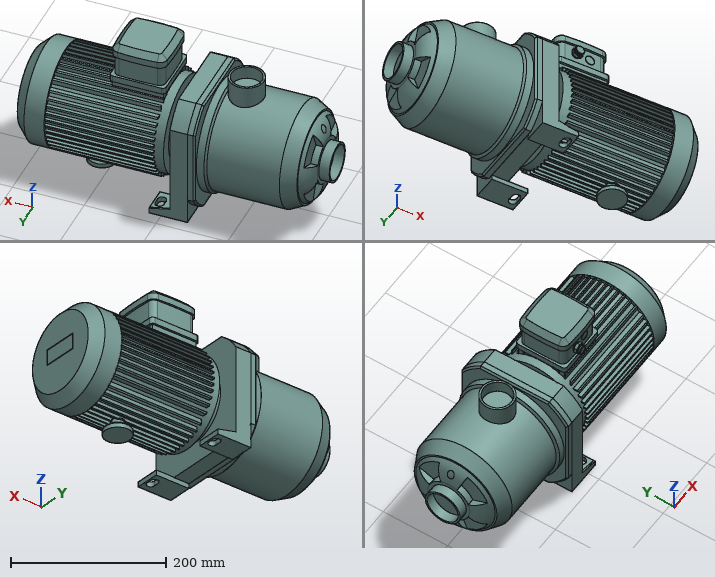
import cadquery as cq
import math


INLET_LENGTH = 14.5
POCKET_FLOOR_X = 24.5
DOME_END_X = 29.5
BARREL_START_X = 50.0
BARREL_END_X = 151.0
BEAD_START_X = 153.5
FLANGE_START_X = 164.0
BRACKET_START_X = 174.5
BRACKET_END_X = 199.2
COLLAR_START_X = 214.0
FINS_START_X = 226.7
COVER_START_X = 378.5
COVER_TAPER_X = 406.5
COVER_END_X = 422.0
OVERALL_LENGTH = 423

INLET_DIAMETER = 54.0
INLET_BORE = 48.2
INLET_BORE_DEPTH = 14.5
HUB_RADIUS = 32.5
DOME_RADIUS = 61.8
SHOULDER_RADIUS = 64.5
BARREL_DIAMETER = 149.0
BEAD_DIAMETER = 156.5
POCKET_COUNT = 4
POCKET_ANGLE = 45
OUTLET_X = 126.0
OUTLET_TOP_Z = 102.5
OUTLET_DIAMETER = 48.2
OUTLET_BORE = 42.5
OUTLET_BORE_DEPTH = 18.5

PLUG_DIAMETER = 10.0
PLUG_Z = 49.0

PLATE_WIDTH = 166.0
PLATE_CORNER_DIAMETER = 197.0
FLANGE_CHAMFER = 2.5
FLOOR_Z = -90.0
FOOT_WIDTH = 37.5
FOOT_END_X = 228.5
FOOT_ROOT_Z = -75.7
FOOT_TIP_Z = -82.5
FOOT_RIM = 2.5
SLOT_WIDTH = 12.0
SLOT_X = 219.5
SLOT_MARGIN = 9.0

NECK_DIAMETER = 102.5
CORE_DIAMETER = 136.0
FIN_DIAMETER = 146.0
FIN_THICKNESS = 2.0
FIN_SPAN = 91.0
FINS_EACH_SIDE = 5
FIN_PITCH = FIN_SPAN / (2 * FINS_EACH_SIDE)
COVER_END_RADIUS = 58.0
NAMEPLATE_WIDTH = 52.5
NAMEPLATE_HEIGHT = 23.0
NAMEPLATE_Z = 4.0

BOX_X = 263.0
PAD_TOP_Z = 72
BASE_TOP_Z = 81.2
BOX_TOP_Z = 111.2
LID_TOP_Z = 128.5
LID_CHAMFER = 8.0
LID_HALF_WIDTH = 39.0
BOX_HALF_WIDTH = 36.0
BASE_CORNER_RADIUS = 5.0
LID_BULGE = 2.0
BOX_BULGE = 1.3
STRAIGHT_HALF = 26.0

ENTRY_Z = 97.5
ENTRY_OFFSET = 10.5
ENTRY_DIAMETER = 13.5
KNOCKOUT_DEPTH = 1.0
GLAND_STEM_DIAMETER = 12.0
GLAND_SOCKET_DEPTH = 2.0
NUT_GAP = 1.3
NUT_FLATS = 13.5
NUT_LENGTH = 5.0
CAP_GAP = 1.5
CAP_LENGTH = 3.5
CAP_CHAMFER = 1.0

STAND_X = 328.0
STAND_DIAMETER = 40.0
STAND_STEM_DIAMETER = 20.0
STAND_PAD_HEIGHT = 6.5
STAND_CONE_HEIGHT = 5.5
STAND_CONE_TOP_DIAMETER = 27.0
STAND_TOP_Z = -70.0


def x_cylinder(diameter, start, end, y=0, z=0):
    """Cylinder along X between two stations."""
    return cq.Workplane("YZ", origin=(start, y, z)).circle(diameter / 2).extrude(end - start)


def x_box(start, end, width_y, bottom, top, y=0):
    """Block between two X stations, centred on y."""
    return cq.Workplane("XY").box(
        end - start, width_y, top - bottom, centered=(False, True, False)
    ).translate((start, y, bottom))


def revolve_about_x(profile):
    """Turn a closed (x, radius) profile about the shaft axis."""
    return profile.close().revolve(360, (0, 0, 0), (1, 0, 0))



def make_pockets():
    """Radial windows cut into the dome between its four ribs."""
    half_angle = math.radians(POCKET_ANGLE / 2)
    reach = SHOULDER_RADIUS
    sector = (
        cq.Workplane("YZ", origin=(INLET_LENGTH, 0, 0))
        .moveTo(0, 0)
        .lineTo(reach * math.cos(half_angle), -reach * math.sin(half_angle))
        .threePointArc(
            (reach, 0), (reach * math.cos(half_angle), reach * math.sin(half_angle))
        )
        .close()
        .extrude(POCKET_FLOOR_X - INLET_LENGTH)
        .cut(x_cylinder(2 * HUB_RADIUS, 0, POCKET_FLOOR_X))
    )
    pockets = cq.Workplane("YZ")
    for index in range(POCKET_COUNT):
        angle = (index + 0.5) * 360 / POCKET_COUNT
        pockets = pockets.add(sector.rotate((0, 0, 0), (1, 0, 0), angle))
    return pockets


def make_vent_bore():
    return x_cylinder(PLUG_DIAMETER, 0, DOME_END_X, z=PLUG_Z)


def make_casing_blank():
    """Casing with its nozzles and pockets, before the vent hole."""
    dome_depth = DOME_END_X - INLET_LENGTH
    dome_rise = DOME_RADIUS - HUB_RADIUS
    arc_radius = (dome_depth**2 + dome_rise**2) / (2 * dome_depth)
    half_sweep = math.asin(dome_rise / arc_radius) / 2
    arc_middle = (
        INLET_LENGTH + arc_radius * (1 - math.cos(half_sweep)),
        HUB_RADIUS + arc_radius * math.sin(half_sweep),
    )
    body = revolve_about_x(
        cq.Workplane("XY")
        .moveTo(0, 0)
        .lineTo(0, INLET_DIAMETER / 2)
        .lineTo(INLET_LENGTH, INLET_DIAMETER / 2)
        .lineTo(INLET_LENGTH, HUB_RADIUS)
        .threePointArc(arc_middle, (DOME_END_X, DOME_RADIUS))
        .lineTo(DOME_END_X, SHOULDER_RADIUS)
        .lineTo(BARREL_START_X, BARREL_DIAMETER / 2)
        .lineTo(BARREL_END_X, BARREL_DIAMETER / 2)
        .lineTo(BEAD_START_X, BEAD_DIAMETER / 2)
        .lineTo(FLANGE_START_X, BEAD_DIAMETER / 2)
        .lineTo(FLANGE_START_X, 0)
    )
    outlet = (
        cq.Workplane("XY", origin=(OUTLET_X, 0, 0))
        .circle(OUTLET_DIAMETER / 2)
        .extrude(OUTLET_TOP_Z)
    )
    outlet_bore = (
        cq.Workplane("XY", origin=(OUTLET_X, 0, OUTLET_TOP_Z))
        .circle(OUTLET_BORE / 2)
        .extrude(-OUTLET_BORE_DEPTH)
    )
    body = body.union(outlet).cut(outlet_bore)
    body = body.cut(x_cylinder(INLET_BORE, 0, INLET_BORE_DEPTH))
    for pocket in make_pockets().vals():
        body = body.cut(cq.Workplane(pocket))
    return body


def make_casing(blank):
    return blank.cut(make_vent_bore())


def make_vent_plug(blank):
    """Plug that fills the vent hole flush with the dome."""
    return blank.intersect(make_vent_bore())



def make_plate(start, end):
    """Square plate with its four corners rounded off by one large circle about the axis."""
    return (
        cq.Workplane("YZ", origin=(start, 0, 0))
        .rect(PLATE_WIDTH, PLATE_WIDTH)
        .extrude(end - start)
        .intersect(x_cylinder(PLATE_CORNER_DIAMETER, start, end))
    )


def make_flange():
    return make_plate(FLANGE_START_X, BRACKET_START_X).faces("<X").chamfer(FLANGE_CHAMFER)


def make_foot(side):
    """Slotted foot with a sloping outer rim; side is +1 or -1 along Y."""
    outer_y = side * PLATE_WIDTH / 2
    corner_z = math.sqrt(PLATE_CORNER_DIAMETER**2 - PLATE_WIDTH**2) / 2
    foot = (
        cq.Workplane("XZ", origin=(0, outer_y, 0))
        .moveTo(BRACKET_START_X, FLOOR_Z)
        .lineTo(FOOT_END_X, FLOOR_Z)
        .lineTo(FOOT_END_X, FOOT_TIP_Z)
        .lineTo(BRACKET_END_X, FOOT_ROOT_Z)
        .lineTo(BRACKET_END_X, -corner_z)
        .lineTo(BRACKET_START_X, -corner_z)
        .close()
        .extrude(side * FOOT_WIDTH)
    )
    foot_middle_y = outer_y - side * FOOT_WIDTH / 2
    recess = x_box(
        BRACKET_END_X, FOOT_END_X, FOOT_WIDTH, FOOT_TIP_Z, FOOT_ROOT_Z,
        y=foot_middle_y - side * FOOT_RIM,
    )
    slot = (
        cq.Workplane("XY", origin=(SLOT_X, foot_middle_y, FLOOR_Z))
        .slot2D(FOOT_WIDTH - 2 * SLOT_MARGIN, SLOT_WIDTH, 90)
        .extrude(FOOT_TIP_Z - FLOOR_Z)
    )
    return foot.cut(recess).cut(slot)


def make_bracket():
    bracket = make_plate(BRACKET_START_X, BRACKET_END_X)
    for side in (-1, 1):
        bracket = bracket.union(make_foot(side))
    return bracket



def make_fins():
    """Parallel fins, level on both flanks and upright above and below, trimmed to a cylinder."""
    length = COVER_START_X - FINS_START_X
    fins = cq.Workplane("XY")
    for index in range(-FINS_EACH_SIDE, FINS_EACH_SIDE + 1):
        offset = index * FIN_PITCH
        level = cq.Workplane("XY").box(
            length, FIN_DIAMETER, FIN_THICKNESS, centered=(False, True, True)
        ).translate((FINS_START_X, 0, offset))
        upright = level.rotate((0, 0, 0), (1, 0, 0), 90)
        fins = fins.union(level).union(upright)
    return fins.intersect(x_cylinder(FIN_DIAMETER, FINS_START_X, COVER_START_X))


def make_stand():
    """Round support foot under the motor."""
    pad_top = FLOOR_Z + STAND_PAD_HEIGHT
    cone_top = pad_top + STAND_CONE_HEIGHT
    return (
        cq.Workplane("XZ")
        .moveTo(0, FLOOR_Z)
        .lineTo(STAND_DIAMETER / 2, FLOOR_Z)
        .lineTo(STAND_DIAMETER / 2, pad_top)
        .lineTo(STAND_CONE_TOP_DIAMETER / 2, cone_top)
        .lineTo(STAND_STEM_DIAMETER / 2, cone_top)
        .lineTo(STAND_STEM_DIAMETER / 2, STAND_TOP_Z)
        .lineTo(0, STAND_TOP_Z)
        .close()
        .revolve(360, (0, 0, 0), (0, 1, 0))
        .translate((STAND_X, 0, 0))
    )


def make_motor(stand):
    neck = x_cylinder(NECK_DIAMETER, BRACKET_END_X, COLLAR_START_X)
    core = x_cylinder(CORE_DIAMETER, COLLAR_START_X, COVER_START_X)
    pad = x_box(BOX_X - BOX_HALF_WIDTH, BOX_X + BOX_HALF_WIDTH, 2 * BOX_HALF_WIDTH, 0, PAD_TOP_Z)
    base = x_box(
        BOX_X - LID_HALF_WIDTH, BOX_X + LID_HALF_WIDTH, 2 * LID_HALF_WIDTH, PAD_TOP_Z, BASE_TOP_Z
    ).edges("|Z").fillet(BASE_CORNER_RADIUS)
    return neck.union(core).union(make_fins()).union(pad).union(base).cut(stand)


def make_fan_cover():
    cover = revolve_about_x(
        cq.Workplane("XY")
        .moveTo(COVER_START_X, 0)
        .lineTo(COVER_START_X, FIN_DIAMETER / 2)
        .lineTo(COVER_TAPER_X, FIN_DIAMETER / 2)
        .lineTo(COVER_END_X, COVER_END_RADIUS)
        .lineTo(COVER_END_X, 0)
    )
    nameplate = x_box(
        COVER_END_X, OVERALL_LENGTH, NAMEPLATE_WIDTH,
        NAMEPLATE_Z - NAMEPLATE_HEIGHT / 2, NAMEPLATE_Z + NAMEPLATE_HEIGHT / 2,
    )
    return cover.union(nameplate)



def make_bulged_block(half_width, bulge, bottom, top):
    """Square block with slightly bulging sides and rounded upright edges."""
    corner = half_width - bulge
    return (
        cq.Workplane("XY", origin=(BOX_X, 0, bottom))
        .moveTo(-corner, -corner)
        .threePointArc((0, -half_width), (corner, -corner))
        .threePointArc((half_width, 0), (corner, corner))
        .threePointArc((0, half_width), (-corner, corner))
        .threePointArc((-half_width, 0), (-corner, -corner))
        .close()
        .extrude(top - bottom)
        .edges("|Z")
        .fillet(corner - STRAIGHT_HALF)
    )


def entry_plane(x, y):
    """Plane at a cable entry whose normal points out of the box, along -Y."""
    return cq.Workplane("XZ", origin=(x, y, ENTRY_Z))


def make_gland():
    x = BOX_X - ENTRY_OFFSET
    wall_y = -BOX_HALF_WIDTH
    nut_y = wall_y - NUT_GAP
    cap_y = nut_y - NUT_LENGTH - CAP_GAP
    stem_start_y = wall_y + GLAND_SOCKET_DEPTH
    stem = entry_plane(x, stem_start_y).circle(GLAND_STEM_DIAMETER / 2).extrude(stem_start_y - cap_y)
    nut = (
        entry_plane(x, nut_y)
        .polygon(6, NUT_FLATS, circumscribed=True)
        .extrude(NUT_LENGTH)
    )
    cap = (
        entry_plane(x, cap_y)
        .circle(ENTRY_DIAMETER / 2)
        .extrude(CAP_LENGTH)
        .faces("<Y")
        .chamfer(CAP_CHAMFER)
    )
    return stem.union(nut).union(cap)


def make_terminal_box(gland):
    box = make_bulged_block(BOX_HALF_WIDTH, BOX_BULGE, BASE_TOP_Z, BOX_TOP_Z)
    knockout = (
        entry_plane(BOX_X + ENTRY_OFFSET, -BOX_HALF_WIDTH + KNOCKOUT_DEPTH)
        .circle(ENTRY_DIAMETER / 2)
        .extrude(KNOCKOUT_DEPTH)
    )
    return box.cut(knockout).cut(gland)


def make_lid():
    lid = make_bulged_block(LID_HALF_WIDTH, LID_BULGE, BOX_TOP_Z, LID_TOP_Z)
    return lid.faces(">Z").chamfer(LID_CHAMFER)


casing_blank = make_casing_blank()
casing = make_casing(casing_blank)
vent_plug = make_vent_plug(casing_blank)
flange = make_flange()
bracket = make_bracket()
stand = make_stand()
motor = make_motor(stand)
fan_cover = make_fan_cover()
gland = make_gland()
terminal_box = make_terminal_box(gland)
lid = make_lid()

result = cq.Compound.makeCompound([
    casing.val(),
    vent_plug.val(),
    flange.val(),
    bracket.val(),
    motor.val(),
    fan_cover.val(),
    stand.val(),
    terminal_box.val(),
    lid.val(),
    gland.val(),
])